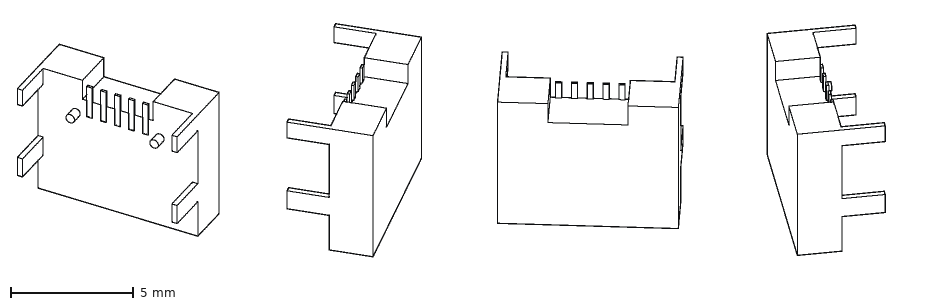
import cadquery as cq

width = 7.42
height = 6.02
total_depth = 3.66
body_depth = 1.86
body_front = -body_depth

notch_width = 3.28
notch_depth = 0.94

peg_diameter = 0.4
peg_length = 0.5
peg_spacing = 3.895
peg_z = 4.31

pin_count = 5
pin_pitch = peg_spacing / (pin_count + 1)
pin_width = 0.25
pin_thickness = 0.105
pin_top_gap = 0.21
pin_bottom = peg_z
pin_length = height - pin_top_gap - pin_bottom

leg_thickness = 0.245
leg_length = total_depth - body_depth
upper_leg_height = 0.79
lower_leg_height = 0.9
lower_leg_drop = 3.405


def block(center_x, size_x, front_y, size_y, bottom_z, size_z):
    """Box centred at center_x, reaching back from front_y and up from bottom_z."""
    return (
        cq.Workplane("XY", origin=(center_x, front_y, bottom_z))
        .box(size_x, size_y, size_z, centered=(True, False, False))
    )


def make_body():
    body = block(0, width, body_front, body_depth, 0, height)
    notch = block(0, notch_width, body_front, body_depth, height - notch_depth, notch_depth)
    return body.cut(notch)


def make_pin(index):
    x = (index - (pin_count - 1) / 2) * pin_pitch
    front_y = body_front - pin_thickness / 2
    return block(x, pin_width, front_y, pin_thickness, pin_bottom, pin_length)


def make_peg(side):
    return (
        cq.Workplane("XZ", origin=(side * peg_spacing / 2, body_front, peg_z))
        .circle(peg_diameter / 2)
        .extrude(peg_length)
    )


def make_leg(side, top_drop, leg_height):
    x = side * (width - leg_thickness) / 2
    bottom_z = height - top_drop - leg_height
    return block(x, leg_thickness, -total_depth, leg_length, bottom_z, leg_height)


result = make_body()
for index in range(pin_count):
    result = result.union(make_pin(index))
for side in (-1, 1):
    result = result.union(make_peg(side))
    result = result.union(make_leg(side, 0, upper_leg_height))
    result = result.union(make_leg(side, lower_leg_drop, lower_leg_height))